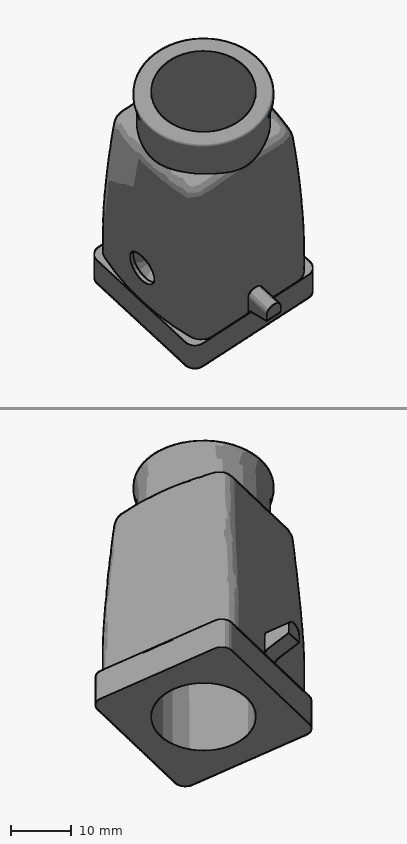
import cadquery as cq
import math

total_height = 50.0
span_over_pegs = 36.0

base_side = 26.7
base_height = 6.0
base_corner_radius = 2.0

body_half_width = 13.25
body_top = 42.0
body_corner_radius = 2.95
body_top_fillet = 2.9
side_taper_angle = 3.6
side_bend_start = 11.4
side_bend_radius = 98.0
face_bulge_radius = 48.5
face_curve_start = 14.5
face_curve_radius = 227.0

neck_radius = 11.0
rim_radius = 11.55
rim_cone_bottom = 46.55
rim_cone_top = 48.9
rim_edge_fillet = 0.5
bore_radius = 8.6

peg_radius = 1.5
peg_axis_height = 10.05
peg_tip_bottom = 8.45
peg_slope_angle = 19.0
peg_root_fillet = 1.1

dimple_height = 14.5
dimple_outer_radius = 3.1
dimple_floor_radius = 1.65
dimple_straight_depth = 0.8
dimple_depth = 2.3


def make_base():
    base = cq.Workplane("XY").rect(base_side, base_side).extrude(base_height)
    return base.edges("|Z").fillet(base_corner_radius)


def make_tapered_block():
    """Block whose +X and -X sides are upright below, then bend and lean inward."""
    taper = math.radians(side_taper_angle)
    bend_end_x = body_half_width - side_bend_radius * (1 - math.cos(taper))
    bend_end_z = side_bend_start + side_bend_radius * math.sin(taper)
    top_half_width = bend_end_x - (body_top - bend_end_z) * math.tan(taper)
    return (
        cq.Workplane("XZ")
        .lineTo(body_half_width, 0)
        .lineTo(body_half_width, side_bend_start)
        .tangentArcPoint((bend_end_x, bend_end_z), relative=False)
        .lineTo(top_half_width, body_top)
        .lineTo(0, body_top)
        .mirrorY()
        .extrude(body_half_width, both=True)
    )


def make_bulged_drum():
    """Large drum of revolution whose -Y side is the bulged front face of the body."""

    def drum_radius(z):
        rise = z - face_curve_start
        return face_bulge_radius - face_curve_radius + math.sqrt(face_curve_radius**2 - rise**2)

    middle = (face_curve_start + body_top) / 2
    drum = (
        cq.Workplane("XZ")
        .lineTo(face_bulge_radius, 0)
        .lineTo(face_bulge_radius, face_curve_start)
        .threePointArc((drum_radius(middle), middle), (drum_radius(body_top), body_top))
        .lineTo(0, body_top)
        .close()
        .revolve(360, (0, 0, 0), (0, 1, 0))
        .rotate((0, 0, 0), (0, 0, 1), 90)
    )
    return drum.translate((0, face_bulge_radius - body_half_width, 0))


def make_body():
    front_drum = make_bulged_drum()
    back_drum = front_drum.rotate((0, 0, 0), (0, 0, 1), 180)
    body = make_tapered_block().intersect(front_drum).intersect(back_drum)
    body = body.edges("not (|X or |Y or <Z or >Z or #Z)").fillet(body_corner_radius)
    return body.faces(">Z").edges().fillet(body_top_fillet)


def make_neck():
    """Solid neck with a flared, rounded rim."""
    return (
        cq.Workplane("XZ")
        .moveTo(0, base_height)
        .lineTo(neck_radius, base_height)
        .lineTo(neck_radius, rim_cone_bottom)
        .lineTo(rim_radius, rim_cone_top)
        .lineTo(rim_radius, total_height - rim_edge_fillet)
        .tangentArcPoint((rim_radius - rim_edge_fillet, total_height), relative=False)
        .lineTo(0, total_height)
        .close()
        .revolve(360, (0, 0, 0), (0, 1, 0))
    )


def make_peg_bar():
    """Both pegs as one bar through the body: round on top, sloped underneath at each end."""
    half_span = span_over_pegs / 2
    root_x = body_half_width
    slope = math.radians(peg_slope_angle)
    turn = math.pi / 2 - slope
    arc_outer_x = root_x + peg_root_fillet * (1 - math.cos(turn))
    arc_outer_z = peg_tip_bottom - (half_span - arc_outer_x) * math.tan(slope)
    arc_inner_z = arc_outer_z - peg_root_fillet * math.sin(turn)
    side_profile = (
        cq.Workplane("XZ")
        .lineTo(root_x, 0)
        .lineTo(root_x, arc_inner_z)
        .tangentArcPoint((arc_outer_x, arc_outer_z), relative=False)
        .lineTo(half_span, peg_tip_bottom)
        .lineTo(half_span, peg_axis_height + peg_radius)
        .lineTo(0, peg_axis_height + peg_radius)
        .mirrorY()
        .extrude(peg_radius, both=True)
    )
    end_profile = (
        cq.Workplane("YZ")
        .moveTo(-peg_radius, 0)
        .lineTo(peg_radius, 0)
        .lineTo(peg_radius, peg_axis_height)
        .threePointArc((0, peg_axis_height + peg_radius), (-peg_radius, peg_axis_height))
        .close()
        .extrude(half_span, both=True)
    )
    return side_profile.intersect(end_profile)


def make_dimple():
    profile = (
        cq.Workplane("XY")
        .lineTo(dimple_outer_radius, 0)
        .lineTo(dimple_outer_radius, dimple_straight_depth)
        .lineTo(dimple_floor_radius, dimple_depth)
        .lineTo(0, dimple_depth)
        .close()
    )
    dimple = profile.revolve(360, (0, 0, 0), (0, 1, 0))
    return dimple.translate((0, -body_half_width, dimple_height))


def make_bore():
    return cq.Workplane("XY").circle(bore_radius).extrude(total_height)


result = (
    make_base()
    .union(make_body())
    .union(make_neck())
    .union(make_peg_bar())
    .cut(make_dimple())
    .cut(make_bore())
)